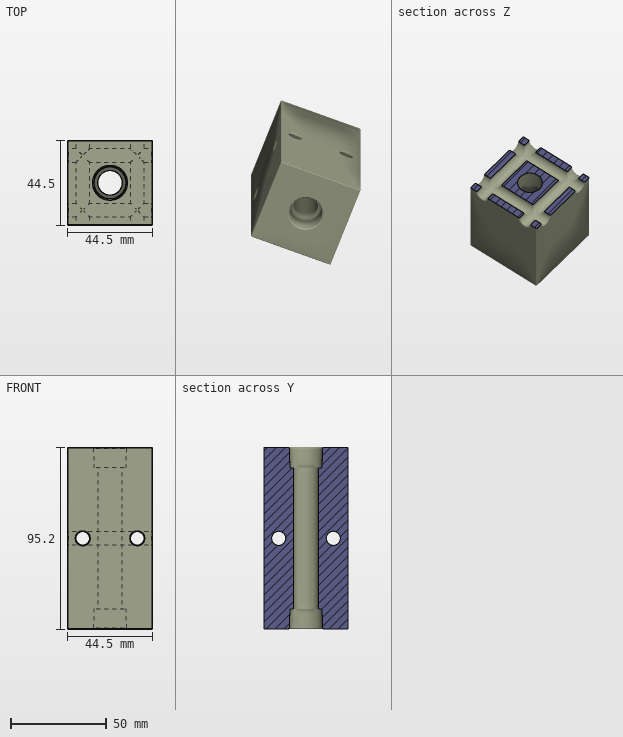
import cadquery as cq

height = 95.25
width = 44.5
edge_chamfer = 0.3

bore_diameter = 12.8
port_mouth_diameter = 17.1
port_floor_diameter = 16.6
port_depth = 10.6
port_chamfer_diameter = 18.4
port_chamfer_depth = (port_chamfer_diameter - port_mouth_diameter) / 2

cross_hole_diameter = 7.1
cross_hole_spacing = 28.6
cross_hole_chamfer = 0.4


def make_block():
    """Block centred on the origin, its edges broken, with the plain bore through it."""
    block = cq.Workplane("XY").box(width, width, height).edges().chamfer(edge_chamfer)
    return block.faces(">Z").workplane().hole(bore_diameter)


def make_top_port():
    """Cutter for the upper port: entry chamfer, tapered wall and flat floor."""
    top = height / 2
    return (
        cq.Workplane("XZ")
        .moveTo(0, top)
        .lineTo(port_chamfer_diameter / 2, top)
        .lineTo(port_mouth_diameter / 2, top - port_chamfer_depth)
        .lineTo(port_floor_diameter / 2, top - port_depth)
        .lineTo(0, top - port_depth)
        .close()
        .revolve(360, (0, 0), (0, 1))
    )


def make_cross_hole(offset):
    """Cutter for one hole along X at the given Y offset, chamfered at both ends."""
    half = width / 2
    radius = cross_hole_diameter / 2
    mouth_radius = radius + cross_hole_chamfer
    return (
        cq.Workplane("XY")
        .moveTo(-half, 0)
        .lineTo(-half, mouth_radius)
        .lineTo(-half + cross_hole_chamfer, radius)
        .lineTo(half - cross_hole_chamfer, radius)
        .lineTo(half, mouth_radius)
        .lineTo(half, 0)
        .close()
        .revolve(360, (0, 0), (1, 0))
        .translate((0, offset, 0))
    )


top_port = make_top_port()
result = make_block().cut(top_port).cut(top_port.mirror("XY"))

for offset in (-cross_hole_spacing / 2, cross_hole_spacing / 2):
    cross_hole = make_cross_hole(offset)
    result = result.cut(cross_hole)
    result = result.cut(cross_hole.rotate((0, 0, 0), (0, 0, 1), 90))